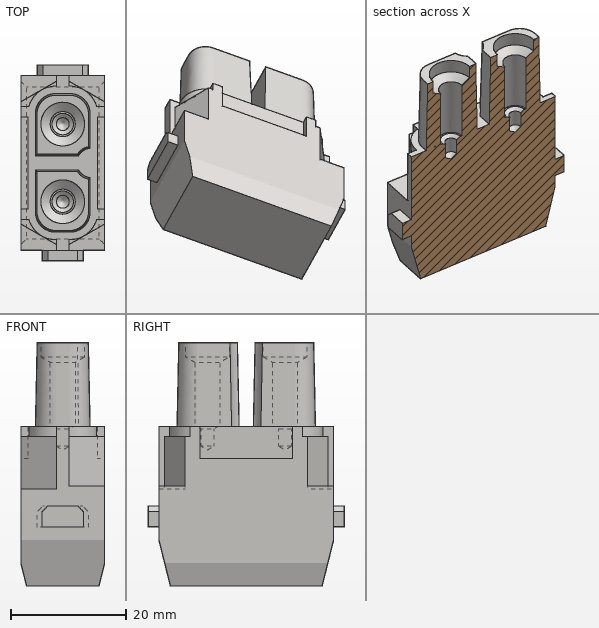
import cadquery as cq
import math

BODY_X = 14.6
BODY_Y = 30.4
BODY_TOP = 27.8
TOTAL_HEIGHT = 42.35
SIDE_TAPER_HEIGHT = 4.0
SIDE_TAPER_INSET = 1.0
END_TAPER_HEIGHT = 8.0
END_TAPER_INSET = 2.0

RECESS_LENGTH = 16.0
RECESS_DEPTH = 1.3
RECESS_FLOOR = 22.2

RIB_HALF_WIDTH = 1.08
RELIEF_ANGLE = 30.0
RELIEF_START_Y = 14.21
RELIEF_FLOOR_LEFT = 16.9
RELIEF_FLOOR_RIGHT = 17.45
COLLAR_FLOOR = 26.05
COLLAR_NOTCH_Y = 9.8

TOWER_HALF_X = 4.77
TOWER_INNER_Y = 1.22
TOWER_OUTER_Y = 12.05
TOWER_CORNER_RADIUS = 3.52
TOWER_DRAFT = 0.3
COLLAR_WALL = 1.3
KEY_CENTER_X = 5.0
KEY_RADIUS = 2.57

SOCKET_Y = 6.75
MOUTH_RADIUS = 3.8
MOUTH_DEPTH = 2.5
FUNNEL_ANGLE = 30.0
BORE_RADIUS = 2.18
BORE_FLOOR = BODY_TOP
SEAT_RADIUS = 1.87
PILOT_RADIUS = 1.12
PILOT_DEPTH = 3.0
DRILL_TIP_ANGLE = 118.0

TAB_BOTTOM = 10.3
TAB_TOP = 13.97
TAB_CHAMFER = 1.02
TAB_LENGTH = 1.85
FRONT_TAB_WIDTH = 7.2
BACK_TAB_WIDTH = 8.9

TOWER_HEIGHT = TOTAL_HEIGHT - BODY_TOP


def tapered_profile(width, taper_height, taper_inset):
    """Points of a rectangular side profile that narrows towards the bottom."""
    half = width / 2
    foot = half - taper_inset
    return [
        (-foot, 0),
        (foot, 0),
        (half, taper_height),
        (half, BODY_TOP),
        (-half, BODY_TOP),
        (-half, taper_height),
    ]


def make_block():
    across_x = tapered_profile(BODY_X, SIDE_TAPER_HEIGHT, SIDE_TAPER_INSET)
    across_y = tapered_profile(BODY_Y, END_TAPER_HEIGHT, END_TAPER_INSET)
    block = cq.Workplane("XZ").polyline(across_x).close().extrude(BODY_Y / 2, both=True)
    return block.intersect(cq.Workplane("YZ").polyline(across_y).close().extrude(BODY_X / 2, both=True))


def make_recess(side):
    """Shallow pocket in the upper part of one X face; side is -1 or 1."""
    return cq.Workplane("XY").box(
        RECESS_DEPTH, RECESS_LENGTH, BODY_TOP - RECESS_FLOOR, centered=(True, True, False)
    ).translate((side * (BODY_X - RECESS_DEPTH) / 2, 0, RECESS_FLOOR))


def make_corner_relief(side, end, floor):
    """Triangular relief outside a sloping wall at one corner of the block."""
    corner_x = BODY_X / 2
    corner_y = BODY_Y / 2
    wall_drop = (corner_x - RIB_HALF_WIDTH) * math.tan(math.radians(RELIEF_ANGLE))
    outline = [
        (RIB_HALF_WIDTH, RELIEF_START_Y),
        (RIB_HALF_WIDTH, corner_y),
        (corner_x, corner_y),
        (corner_x, RELIEF_START_Y - wall_drop),
    ]
    points = [(side * x, end * y) for x, y in outline]
    return cq.Workplane("XY").workplane(offset=floor).polyline(points).close().extrude(BODY_TOP - floor)


def make_collar():
    """Rounded oblong rim that surrounds both tower feet."""
    return (
        cq.Workplane("XY")
        .workplane(offset=COLLAR_FLOOR)
        .rect(2 * (TOWER_HALF_X + COLLAR_WALL), 2 * (TOWER_OUTER_Y + COLLAR_WALL))
        .extrude(BODY_TOP - COLLAR_FLOOR)
        .edges("|Z")
        .fillet(TOWER_CORNER_RADIUS + COLLAR_WALL)
    )


def make_collar_notch(side, end):
    """Shallow corner notch that leaves the collar and the ribs standing."""
    size_x = BODY_X / 2 - RIB_HALF_WIDTH
    size_y = BODY_Y / 2 - COLLAR_NOTCH_Y
    center_x = side * (RIB_HALF_WIDTH + size_x / 2)
    center_y = end * (COLLAR_NOTCH_Y + size_y / 2)
    notch = cq.Workplane("XY").box(
        size_x, size_y, BODY_TOP - COLLAR_FLOOR, centered=(True, True, False)
    ).translate((center_x, center_y, COLLAR_FLOOR))
    return notch.cut(make_collar())


def make_tab(end, width):
    """Latching tab with chamfered upper corners on one Y face."""
    half = width / 2
    shoulder = TAB_TOP - TAB_CHAMFER
    points = [
        (-half, TAB_BOTTOM),
        (half, TAB_BOTTOM),
        (half, shoulder),
        (half - TAB_CHAMFER, TAB_TOP),
        (TAB_CHAMFER - half, TAB_TOP),
        (-half, shoulder),
    ]
    reach = BODY_Y / 2 + TAB_LENGTH
    return cq.Workplane("XZ").polyline(points).close().extrude(-end * reach)


def tower_section(plane, inset):
    """Tower outline: square towards the middle, rounded at the outer end."""
    half = TOWER_HALF_X - inset
    inner = TOWER_INNER_Y + inset
    outer = TOWER_OUTER_Y - inset
    radius = TOWER_CORNER_RADIUS - inset
    arc_mid = radius * (1 - math.sqrt(0.5))
    return (
        plane.moveTo(-half, inner)
        .lineTo(half, inner)
        .lineTo(half, outer - radius)
        .threePointArc((half - arc_mid, outer - arc_mid), (half - radius, outer))
        .lineTo(radius - half, outer)
        .threePointArc((arc_mid - half, outer - arc_mid), (-half, outer - radius))
        .close()
    )


def make_socket():
    """Stepped round bore, revolved about the tower axis."""
    mouth_floor = TOTAL_HEIGHT - MOUTH_DEPTH
    funnel_drop = (MOUTH_RADIUS - BORE_RADIUS) * math.tan(math.radians(FUNNEL_ANGLE))
    tip_slope = 1 / math.tan(math.radians(DRILL_TIP_ANGLE / 2))
    seat_floor = BORE_FLOOR - (SEAT_RADIUS - PILOT_RADIUS) * tip_slope
    pilot_floor = seat_floor - PILOT_DEPTH
    points = [
        (0, TOTAL_HEIGHT),
        (MOUTH_RADIUS, TOTAL_HEIGHT),
        (MOUTH_RADIUS, mouth_floor),
        (BORE_RADIUS, mouth_floor - funnel_drop),
        (BORE_RADIUS, BORE_FLOOR),
        (SEAT_RADIUS, BORE_FLOOR),
        (PILOT_RADIUS, seat_floor),
        (PILOT_RADIUS, pilot_floor),
        (0, pilot_floor - PILOT_RADIUS * tip_slope),
    ]
    socket = cq.Workplane("XZ").polyline(points).close().revolve(360, (0, 0, 0), (0, 1, 0))
    return socket.translate((0, SOCKET_Y, 0))


def make_tower():
    """Drafted tower on the +Y side with its keying groove at the inner +X corner."""
    foot = tower_section(cq.Workplane("XY", origin=(0, 0, BODY_TOP)), 0)
    tower = tower_section(foot.workplane(offset=TOWER_HEIGHT), TOWER_DRAFT).loft(ruled=True)
    key = (
        cq.Workplane("XY", origin=(KEY_CENTER_X, 0, BODY_TOP))
        .circle(KEY_RADIUS)
        .workplane(offset=TOWER_HEIGHT)
        .circle(KEY_RADIUS + TOWER_DRAFT)
        .loft(ruled=True)
    )
    return tower.cut(key)


def make_housing():
    housing = make_block()
    for side, relief_floor in ((-1, RELIEF_FLOOR_LEFT), (1, RELIEF_FLOOR_RIGHT)):
        housing = housing.cut(make_recess(side))
        for end in (-1, 1):
            housing = housing.cut(make_corner_relief(side, end, relief_floor))
            housing = housing.cut(make_collar_notch(side, end))
    for end, width in ((-1, FRONT_TAB_WIDTH), (1, BACK_TAB_WIDTH)):
        housing = housing.union(make_tab(end, width))
    return housing


result = make_housing()
tower = make_tower()
socket = make_socket()
result = result.union(tower).union(tower.mirror("XZ"))
result = result.cut(socket).cut(socket.mirror("XZ"))